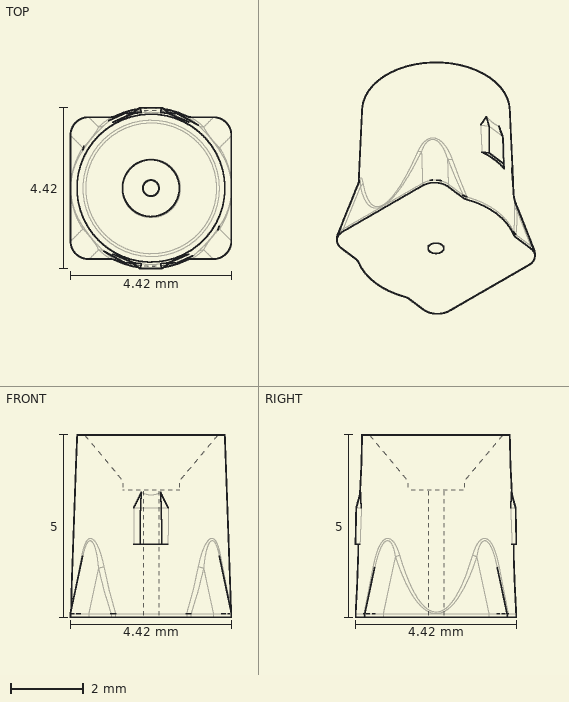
import cadquery as cq
import math

height = 5.0
overall_width = 4.42
base_diameter = 4.41
top_diameter = 4.06
base_thickness = 0.1

feet_length_x = overall_width
feet_width_y = 3.9
feet_corner_radius = 0.5
feet_draft = math.radians(12.0)
feet_top = 3.0
feet_blend_radius = 0.25
blend_overrun = 0.6

funnel_mouth_diameter = 3.65
well_diameter = 1.56
well_top = 3.75
well_floor = 3.5
funnel_edge_radius = 0.1
hole_diameter = 0.435

lug_sections = [
    (2.0, 0.3, overall_width / 2),
    (3.0, 0.285, 2.19),
    (3.5, 0.26, 2.05),
]
lug_flank_slope = 0.75
lug_root_y = 1.8


def barrel_radius(z):
    """Radius of the tapered barrel, continued in a straight line below the base plate."""
    fraction = (z - base_thickness) / (height - base_thickness)
    return (base_diameter + fraction * (top_diameter - base_diameter)) / 2


def feet_outline(z):
    """Rounded rectangle of the leaning walls at height z."""
    inset = 2 * (z - base_thickness) * math.tan(feet_draft)
    return (
        cq.Sketch()
        .rect(feet_length_x - inset, feet_width_y - inset)
        .vertices()
        .fillet(feet_corner_radius)
        .moved(cq.Location(cq.Vector(0, 0, z)))
    )


def make_base_plate():
    """Straight plate: disc joined to the feet rectangle, with blended inner corners."""
    disc = cq.Workplane("XY").circle(base_diameter / 2).extrude(base_thickness)
    rectangle = (
        cq.Workplane("XY")
        .placeSketch(feet_outline(base_thickness))
        .extrude(base_thickness)
        .translate((0, 0, -base_thickness))
    )
    plate = disc.union(rectangle)
    half_width = feet_width_y / 2
    corner_x = math.sqrt((base_diameter / 2) ** 2 - half_width**2)
    for x in (-corner_x, corner_x):
        for y in (-half_width, half_width):
            inner_corner = cq.selectors.NearestToPointSelector((x, y, base_thickness / 2))
            plate = plate.edges(inner_corner).fillet(feet_blend_radius)
    return plate


def make_barrel_with_feet():
    """Tapered barrel with the four leaning feet blended into it."""
    start = base_thickness - blend_overrun
    barrel = cq.Workplane(
        cq.Solid.makeCone(
            barrel_radius(start), barrel_radius(height), height - start, cq.Vector(0, 0, start)
        )
    )
    feet = cq.Workplane("XY").placeSketch(feet_outline(start), feet_outline(feet_top)).loft(ruled=True)
    body = barrel.union(feet)
    body = body.faces("%CONE").edges("not(%CIRCLE)").fillet(feet_blend_radius)
    trim_depth = 2 * blend_overrun
    below_plate_top = (
        cq.Workplane("XY", origin=(0, 0, base_thickness))
        .rect(2 * overall_width, 2 * overall_width)
        .extrude(-trim_depth)
    )
    return body.cut(below_plate_top)


def lug_wire(z, half_width, face_y):
    """Trapezoid section of a lug: flat outer face and flanks spreading inwards."""
    root_half_width = half_width + (face_y - lug_root_y) / lug_flank_slope
    corners = [
        cq.Vector(-half_width, face_y, z),
        cq.Vector(half_width, face_y, z),
        cq.Vector(root_half_width, lug_root_y, z),
        cq.Vector(-root_half_width, lug_root_y, z),
    ]
    return cq.Wire.makePolygon(corners, close=True)


def make_lug():
    """Lug on the +Y side: a nearly upright block with a sloping top."""
    wires = [lug_wire(*section) for section in lug_sections]
    return cq.Workplane(cq.Solid.makeLoft(wires, True))


def make_funnel():
    """Conical funnel ending in a shallow well, with a small hole through the floor."""
    profile = [
        (0, well_floor),
        (well_diameter / 2, well_floor),
        (well_diameter / 2, well_top),
        (funnel_mouth_diameter / 2, height),
        (0, height),
    ]
    funnel = cq.Workplane("XZ").polyline(profile).close().revolve(360, (0, 0), (0, 1))
    hole = cq.Workplane("XY").circle(hole_diameter / 2).extrude(height)
    return funnel.union(hole)


def round_funnel_edges(body):
    """Round the funnel mouth and the step from funnel to well."""
    mouth = cq.selectors.RadiusNthSelector(0)
    body = body.faces(">Z").edges(mouth).fillet(funnel_edge_radius)
    well_edge = cq.selectors.BoxSelector(
        (-well_diameter, -well_diameter, well_top - funnel_edge_radius),
        (well_diameter, well_diameter, well_top + funnel_edge_radius),
    )
    return body.edges("%CIRCLE").edges(well_edge).fillet(funnel_edge_radius)


lug = make_lug()
result = make_base_plate().union(make_barrel_with_feet())
result = round_funnel_edges(result.cut(make_funnel()))
result = result.union(lug).union(lug.mirror("XZ"))